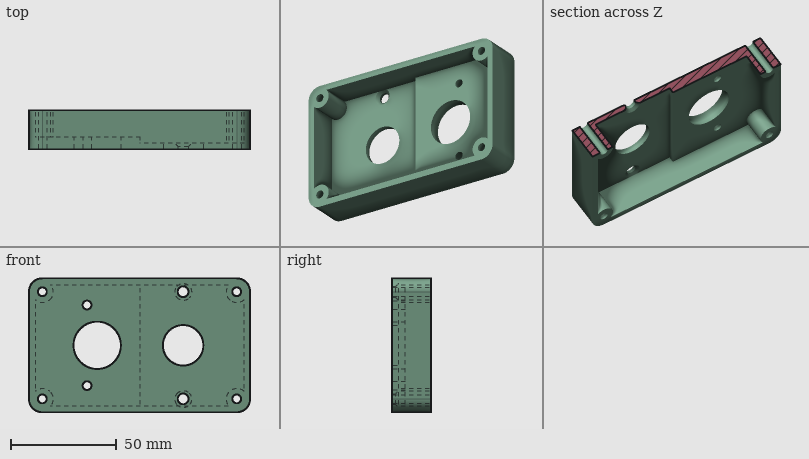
import cadquery as cq

LENGTH = 104.8
DEPTH = 18.5
HEIGHT = 63.5
CORNER_RADIUS = 6.4
WALL = 3.0
FRONT_Y = -DEPTH / 2

PANEL_THICKNESS = 3.0
PAD_THICKNESS = 6.0
PAD_END_X = 0.0

SCREW_DIAMETER = 4.1
SCREW_X = LENGTH / 2 - CORNER_RADIUS
SCREW_Z = HEIGHT / 2 - CORNER_RADIUS
BOSS_RADIUS = 5.0

LEFT_OPENING_DIAMETER = 22.3
LEFT_OPENING_X = -20.0
LEFT_FIXING_X = -24.8
LEFT_FIXING_Z = 19.1

RIGHT_OPENING_DIAMETER = 19.1
RIGHT_OPENING_X = 20.6
RIGHT_FIXING_DIAMETER = 5.0
COUNTERSINK_DEPTH = 1.5


def front_plane(offset=0.0):
    """Plane parallel to the front face, with local axes along X and Z and facing -Y."""
    return cq.Workplane("XZ", origin=(0, FRONT_Y + offset, 0))


def rounded_block(length, height, radius, start):
    """Rounded block from a distance behind the front face to the open rear."""
    block = front_plane(start).rect(length, height).extrude(start - DEPTH)
    return block.edges("|Y").fillet(radius)


def through_holes(diameter, points):
    """Cylinders running through the full depth."""
    return front_plane().pushPoints(points).circle(diameter / 2).extrude(-DEPTH)


def mirrored_pair(x, z):
    return [(x, z), (x, -z)]


screw_points = mirrored_pair(-SCREW_X, SCREW_Z) + mirrored_pair(SCREW_X, SCREW_Z)

cavity = rounded_block(
    LENGTH - 2 * WALL, HEIGHT - 2 * WALL, CORNER_RADIUS - WALL, PANEL_THICKNESS
)
pad_length = LENGTH / 2 + PAD_END_X
pad_center_x = PAD_END_X - pad_length / 2
pad = front_plane().center(pad_center_x, 0).rect(pad_length, HEIGHT).extrude(-PAD_THICKNESS)
bosses = through_holes(2 * BOSS_RADIUS, screw_points)
cavity = cavity.cut(pad).cut(bosses)

result = rounded_block(LENGTH, HEIGHT, CORNER_RADIUS, 0.0).cut(cavity)

hole_groups = [
    (SCREW_DIAMETER, screw_points),
    (LEFT_OPENING_DIAMETER, [(LEFT_OPENING_X, 0)]),
    (SCREW_DIAMETER, mirrored_pair(LEFT_FIXING_X, LEFT_FIXING_Z)),
    (RIGHT_OPENING_DIAMETER, [(RIGHT_OPENING_X, 0)]),
    (RIGHT_FIXING_DIAMETER, mirrored_pair(RIGHT_OPENING_X, SCREW_Z)),
]
for diameter, points in hole_groups:
    result = result.cut(through_holes(diameter, points))

for x, z in mirrored_pair(RIGHT_OPENING_X, SCREW_Z):
    countersink = (
        front_plane(PANEL_THICKNESS)
        .center(x, z)
        .circle(RIGHT_FIXING_DIAMETER / 2 + COUNTERSINK_DEPTH)
        .extrude(COUNTERSINK_DEPTH, taper=45)
    )
    result = result.cut(countersink)